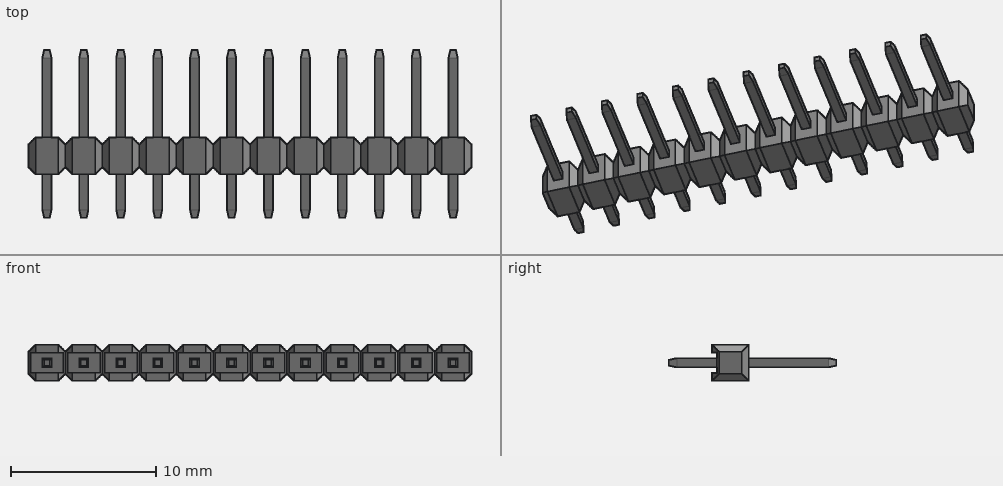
import cadquery as cq

row_length = 30.48
pin_count = 12
pitch = row_length / pin_count

housing_depth = pitch
housing_height = 2.5
housing_chamfer = 0.5

channel_height = 1.4
channel_depth = 0.35

pin_length = 11.55
pin_width = 0.65
tip_width = 0.4
tip_length = 0.55
front_pin_length = 3.0

housing_front = -housing_depth / 2
pin_front = housing_front - front_pin_length
pin_back = pin_front + pin_length


def make_housing():
    """Block bevelled all round both ends, with a channel across its front."""
    block = cq.Workplane("XY").box(pitch, housing_depth, housing_height)
    block = block.faces("<X or >X").chamfer(housing_chamfer)
    channel = (
        cq.Workplane("XY")
        .box(pitch, channel_depth, channel_height)
        .translate((0, housing_front + channel_depth / 2, 0))
    )
    return block.cut(channel)


def make_tip(end_y, inward):
    """Tapered pin tip with its small face at end_y; inward is +1 or -1 along Y."""
    return (
        cq.Workplane("XZ", origin=(0, end_y, 0))
        .rect(tip_width, tip_width)
        .workplane(offset=-inward * tip_length)
        .rect(pin_width, pin_width)
        .loft(ruled=True)
    )


def make_pin():
    """Square shank between two tapered tips."""
    shank = (
        cq.Workplane("XY")
        .box(pin_width, pin_length - 2 * tip_length, pin_width)
        .translate((0, (pin_front + pin_back) / 2, 0))
    )
    return shank.union(make_tip(pin_front, 1)).union(make_tip(pin_back, -1))


contact = make_housing().union(make_pin())
result = cq.Workplane("XY")
for index in range(pin_count):
    contact_x = (index - (pin_count - 1) / 2) * pitch
    result = result.union(contact.translate((contact_x, 0, 0)))